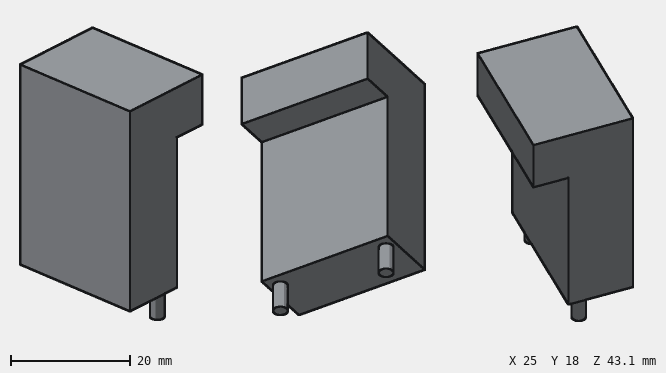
import cadquery as cq

TOTAL_HEIGHT = 43.1
WIDTH = 25.0
HEAD_DEPTH = 18.0

PIN_LENGTH = 5.17
HEAD_HEIGHT = 9.5
BODY_DEPTH = 11.72
HOUSING_HEIGHT = TOTAL_HEIGHT - PIN_LENGTH

PIN_DIAMETER = 2.5
PIN_SPACING = 20.95
PIN_FROM_FRONT = 9.0


def make_housing():
    """L-shaped block: front face at Y = 0, bottom face at Z = 0, centred on X."""
    head_bottom = HOUSING_HEIGHT - HEAD_HEIGHT
    profile = [
        (0, 0),
        (BODY_DEPTH, 0),
        (BODY_DEPTH, head_bottom),
        (HEAD_DEPTH, head_bottom),
        (HEAD_DEPTH, HOUSING_HEIGHT),
        (0, HOUSING_HEIGHT),
    ]
    return cq.Workplane("YZ").polyline(profile).close().extrude(WIDTH / 2, both=True)


def make_pin(x):
    """Round pin hanging from the bottom face of the housing."""
    return (
        cq.Workplane("XY")
        .center(x, PIN_FROM_FRONT)
        .circle(PIN_DIAMETER / 2)
        .extrude(-PIN_LENGTH)
    )


housing = make_housing()
pins = [make_pin(side * PIN_SPACING / 2) for side in (-1, 1)]

result = cq.Compound.makeCompound([housing.val(), *[pin.val() for pin in pins]])